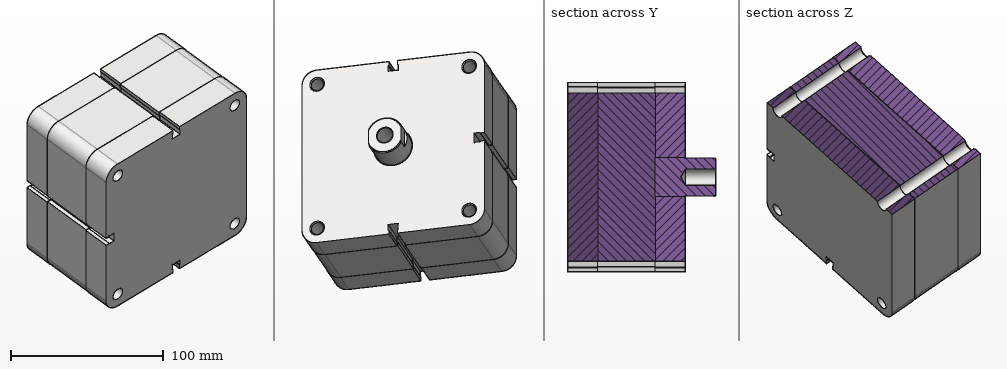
import cadquery as cq

SIDE = 124.0
TUBE_SIDE = 123.8
TOTAL_LENGTH = 97.0
ROD_REACH = 20.0
CAP_LENGTH = 19.7
HOUSING_LENGTH = TOTAL_LENGTH - ROD_REACH
TUBE_LENGTH = HOUSING_LENGTH - 2 * CAP_LENGTH
CORNER_RADIUS = 10.0

TUBE_X = CAP_LENGTH
REAR_CAP_X = CAP_LENGTH + TUBE_LENGTH

BOLT_SPACING = 103.3
BOLT_DIAMETER = 8.4
BOLT_CHAMFER = 0.7

SLOT_DEPTH = 7.0
CAP_SLOT_MOUTH = 5.8
CAP_SLOT_WIDTH = 6.7
CAP_SLOT_SHOULDER = 3.1
TUBE_SLOT_MOUTH = 4.8
TUBE_SLOT_WIDTH = 6.0
TUBE_SLOT_SHOULDER = 3.7
SLOT_ANGLES = (0, 90, 180)

ROD_DIAMETER = 25.0
ROD_CHAMFER = 0.6
FLAT_WIDTH = 22.0
FLAT_LENGTH = 8.4
FLAT_END_SLANT = 0.5
ROD_HOLE_DIAMETER = 10.5
ROD_HOLE_CHAMFER = 0.4
ROD_HOLE_DEPTH = 19.8
DRILL_TIP_DEPTH = 3.1
BORE_CHAMFER = 0.6


def slot_cutter(start_x, length, mouth, width, shoulder_depth):
    """Undercut slot in the +Z side, running along X."""
    top = SIDE / 2
    floor = top - SLOT_DEPTH
    shoulder = top - shoulder_depth
    lip = shoulder + (width - mouth) / 2
    return (
        cq.Workplane("YZ", origin=(start_x, 0, 0))
        .moveTo(-mouth / 2, top)
        .lineTo(-mouth / 2, lip)
        .lineTo(-width / 2, shoulder)
        .lineTo(-width / 2, floor)
        .lineTo(width / 2, floor)
        .lineTo(width / 2, shoulder)
        .lineTo(mouth / 2, lip)
        .lineTo(mouth / 2, top)
        .close()
        .extrude(length)
    )


def housing_block(start_x, length, side, slot_mouth, slot_width, shoulder_depth):
    """Rounded square block with four bolt holes and three slots."""
    block = (
        cq.Workplane("YZ", origin=(start_x, 0, 0))
        .rect(side, side)
        .extrude(length)
        .edges("|X")
        .fillet(CORNER_RADIUS)
    )
    bolt_holes = (
        cq.Workplane("YZ", origin=(start_x, 0, 0))
        .rect(BOLT_SPACING, BOLT_SPACING, forConstruction=True)
        .vertices()
        .circle(BOLT_DIAMETER / 2)
        .extrude(length)
    )
    block = block.cut(bolt_holes)
    slot = slot_cutter(start_x, length, slot_mouth, slot_width, shoulder_depth)
    for angle in SLOT_ANGLES:
        block = block.cut(slot.rotate((0, 0, 0), (1, 0, 0), angle))
    return block


def countersink(y, z, diameter, chamfer):
    """Cone that chamfers a hole of the given diameter in the front face."""
    base = cq.Vector(0, y, z)
    radius = diameter / 2
    return cq.Workplane(cq.Solid.makeCone(radius + chamfer, radius, chamfer, base, cq.Vector(1, 0, 0)))


def front_cap():
    """Front cap with the rod bore and chamfered hole rims."""
    cap = housing_block(0, CAP_LENGTH, SIDE, CAP_SLOT_MOUTH, CAP_SLOT_WIDTH, CAP_SLOT_SHOULDER)
    cap = cap.cut(cq.Workplane("YZ").circle(ROD_DIAMETER / 2).extrude(CAP_LENGTH))
    cap = cap.cut(countersink(0, 0, ROD_DIAMETER, BORE_CHAMFER))
    offset = BOLT_SPACING / 2
    for y in (-offset, offset):
        for z in (-offset, offset):
            cap = cap.cut(countersink(y, z, BOLT_DIAMETER, BOLT_CHAMFER))
    return cap


def wrench_flat():
    """Cutter for the flat on the +Y side, with a slanted end wall."""
    flat_y = FLAT_WIDTH / 2
    surface_y = ROD_DIAMETER / 2
    flat_end_x = -ROD_REACH + FLAT_LENGTH
    return (
        cq.Workplane("XY")
        .moveTo(-ROD_REACH, flat_y)
        .lineTo(flat_end_x, flat_y)
        .lineTo(flat_end_x + FLAT_END_SLANT, surface_y)
        .lineTo(-ROD_REACH, surface_y)
        .close()
        .extrude(ROD_DIAMETER / 2, both=True)
    )


def piston_rod():
    """Rod with a drilled end hole and two wrench flats, seated on the tube."""
    tip_x = -ROD_REACH
    radius = ROD_DIAMETER / 2
    hole_radius = ROD_HOLE_DIAMETER / 2
    hole_end_x = tip_x + ROD_HOLE_DEPTH
    rod = (
        cq.Workplane("XZ")
        .moveTo(tip_x + ROD_HOLE_CHAMFER, hole_radius)
        .lineTo(tip_x, hole_radius + ROD_HOLE_CHAMFER)
        .lineTo(tip_x, radius - ROD_CHAMFER)
        .lineTo(tip_x + ROD_CHAMFER, radius)
        .lineTo(TUBE_X, radius)
        .lineTo(TUBE_X, 0)
        .lineTo(hole_end_x + DRILL_TIP_DEPTH, 0)
        .lineTo(hole_end_x, hole_radius)
        .close()
        .revolve(360, (0, 0, 0), (1, 0, 0))
    )
    flat = wrench_flat()
    return rod.cut(flat).cut(flat.mirror("XZ"))


front = front_cap()
tube = housing_block(TUBE_X, TUBE_LENGTH, TUBE_SIDE, TUBE_SLOT_MOUTH, TUBE_SLOT_WIDTH, TUBE_SLOT_SHOULDER)
rear = housing_block(REAR_CAP_X, CAP_LENGTH, SIDE, CAP_SLOT_MOUTH, CAP_SLOT_WIDTH, CAP_SLOT_SHOULDER)
rod = piston_rod()

result = cq.Compound.makeCompound([front.val(), tube.val(), rear.val(), rod.val()])